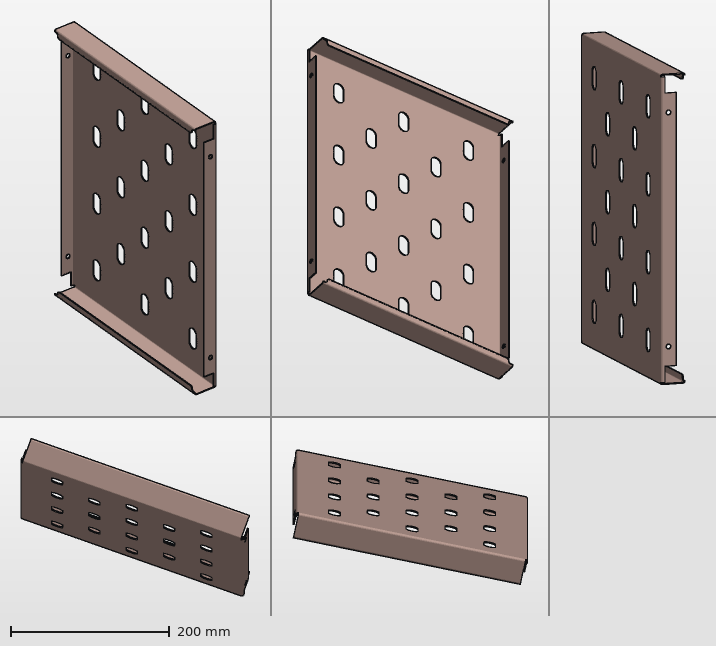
import cadquery as cq

WIDTH = 298.0
DEPTH = 33.0
HEIGHT = 398.0

SHEET = 1.5
INNER_BEND = 1.5
OUTER_BEND = INNER_BEND + SHEET

SIDE_DEPTH = 20.3
SIDE_END_DEPTH = 5.0
SIDE_END_LENGTH = 24.0
SIDE_HOLE_DIAMETER = 6.0
SIDE_HOLE_PITCH = 300.0
SIDE_HOLE_FROM_BACK = 10.0

LIP_HEIGHT = 10.0
LIP_INSET = 6.5
LIP_RADIUS = 3.0

SLOT_LENGTH = 30.0
SLOT_WIDTH = 15.0
SLOT_PITCH = 100.0

BACK_Y = DEPTH / 2
FRONT_Y = -DEPTH / 2
FLAT_WIDTH = WIDTH - 2 * OUTER_BEND
FLAT_HEIGHT = HEIGHT - 2 * OUTER_BEND


def block(width, y_front, y_back, height):
    """Box centred in X and Z, between two Y positions."""
    y_middle = (y_front + y_back) / 2
    return cq.Workplane("XY").box(width, y_back - y_front, height).translate((0, y_middle, 0))


def side_channel():
    """Panel with both side flanges, cut back in depth at their ends."""
    side_front_y = BACK_Y - SIDE_DEPTH
    outside = block(WIDTH, side_front_y, BACK_Y, FLAT_HEIGHT).edges("|Z and >Y").fillet(OUTER_BEND)
    inside = block(WIDTH - 2 * SHEET, side_front_y, BACK_Y - SHEET, FLAT_HEIGHT)
    channel = outside.cut(inside.edges("|Z and >Y").fillet(INNER_BEND))

    end_front_y = BACK_Y - SIDE_END_DEPTH
    all_depth = block(WIDTH, side_front_y, end_front_y, HEIGHT)
    kept = block(WIDTH, side_front_y, end_front_y, HEIGHT - 2 * SIDE_END_LENGTH)
    return channel.cut(all_depth.cut(kept))


def lipped_channel():
    """Panel with the top and bottom flanges and their inward lips."""
    outside = block(FLAT_WIDTH, FRONT_Y, BACK_Y, HEIGHT).edges("|X").fillet(OUTER_BEND)
    inside = block(FLAT_WIDTH, FRONT_Y + SHEET, BACK_Y - SHEET, HEIGHT - 2 * SHEET)
    channel = outside.cut(inside.edges("|X").fillet(INNER_BEND))

    opening = block(FLAT_WIDTH, FRONT_Y, FRONT_Y + SHEET, FLAT_HEIGHT)
    half_lip = FLAT_WIDTH / 2 - LIP_INSET
    half_opening = FLAT_HEIGHT / 2
    free_edge = HEIGHT / 2 - LIP_HEIGHT
    upper_lip = (
        cq.Workplane("XZ", origin=(0, FRONT_Y + SHEET, 0))
        .moveTo(-half_lip - LIP_RADIUS, half_opening)
        .radiusArc((-half_lip, half_opening - LIP_RADIUS), LIP_RADIUS)
        .lineTo(-half_lip, free_edge + LIP_RADIUS)
        .radiusArc((-half_lip + LIP_RADIUS, free_edge), -LIP_RADIUS)
        .lineTo(half_lip - LIP_RADIUS, free_edge)
        .radiusArc((half_lip, free_edge + LIP_RADIUS), -LIP_RADIUS)
        .lineTo(half_lip, half_opening - LIP_RADIUS)
        .radiusArc((half_lip + LIP_RADIUS, half_opening), LIP_RADIUS)
        .close()
        .extrude(SHEET)
    )
    lower_lip = upper_lip.mirror("XY")
    return channel.cut(opening.cut(upper_lip).cut(lower_lip))


def slots():
    """Rows of three and two slots in turn, half a pitch apart."""
    rows_of_three = [
        (column * SLOT_PITCH, row * SLOT_PITCH) for column in (-1, 0, 1) for row in (-1.5, -0.5, 0.5, 1.5)
    ]
    rows_of_two = [(column * SLOT_PITCH, row * SLOT_PITCH) for column in (-0.5, 0.5) for row in (-1, 0, 1)]
    return (
        cq.Workplane("XZ")
        .pushPoints(rows_of_three + rows_of_two)
        .slot2D(SLOT_LENGTH, SLOT_WIDTH, 90)
        .extrude(DEPTH / 2, both=True)
    )


def side_holes():
    """Round holes through both side flanges, near the top and bottom."""
    hole_y = BACK_Y - SIDE_HOLE_FROM_BACK
    return (
        cq.Workplane("YZ")
        .pushPoints([(hole_y, -SIDE_HOLE_PITCH / 2), (hole_y, SIDE_HOLE_PITCH / 2)])
        .circle(SIDE_HOLE_DIAMETER / 2)
        .extrude(WIDTH / 2, both=True)
    )


result = side_channel().union(lipped_channel()).cut(slots()).cut(side_holes())